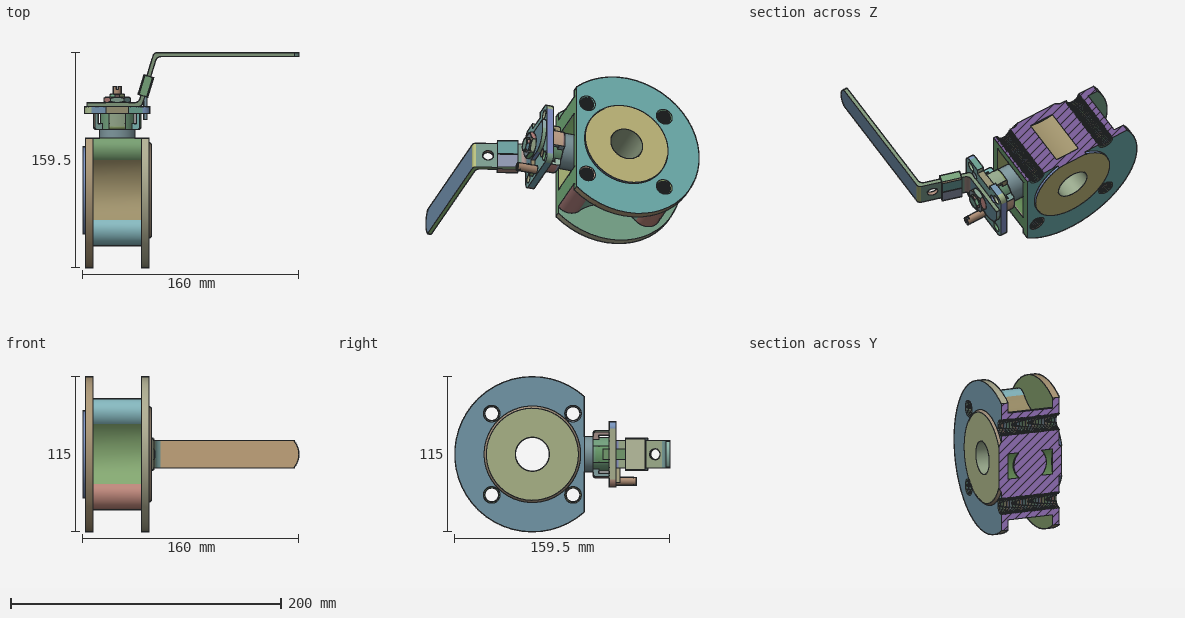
import cadquery as cq
import math


flange_dia = 115.0
flange_outer_x = 23.5
flange_inner_x = 18.0
flat_y = 38.5
bore_dia = 25.0
raised_face_dia = 64.8
raised_face_x = -25.5
cap_base_dia = 71.5
cap_face_dia = 68.2
cap_face_x = 25.5

bolt_offset = 30.0
lobe_radius = 11.0
thread_major_dia = 12.3
thread_minor_dia = 10.0
thread_turns = 40

collar_dia = 26.5
collar_top_y = 45.0
neck_dia = 25.1
pad_bottom_y = 56.8
pad_top_y = 62.0
pad_size = 48.5
pad_corner_radius = 5.3
pad_notch_width = 17.0
pad_notch_depth = 4.3
outer_pad_hole_dia = 7.0
outer_pad_circle_radius = 25.0
inner_pad_hole_dia = 6.0
inner_pad_circle_radius = 18.0
lug_outer_radius = 17.6
lug_inner_radius = 15.2
lug_width = 12.0
lug_foot_height = 4.3
lug_edge_radius = 2.0

stem_dia = 11.0
stem_square = 9.8
stem_top_y = 71.4
stem_edge_chamfer = 0.6
nut_across_flats = 17.3
nut_height = 4.0
nut_chamfer_radial = 1.5
nut_chamfer_height = 1.0

pin_dia = 6.0
pin_z = -20.0
pin_top_y = 77.0
pin_slot_width = 1.5
pin_slot_depth = 2.2

lever_thickness = 3.0
lever_width = 20.5
lever_base_end_x = -22.5
lever_base_round = 13.3
lever_bend_x = 15.8
lever_top_y = 102.0
lever_tip_x = 134.5
lever_tip_radius = 15.0
lever_tip_half_chord = 9.6
lever_lean = 17.0
bend_inside_radius = 4.0
bend_outside_radius = 3.0
lever_hole_dia = 8.0
lever_hole_y = 91.0
stop_ear_width = 5.8
stop_ear_end_z = -20.8

sleeve_length = 15.2
sleeve_bottom_y = 70.0
sleeve_thickness = 7.7
sleeve_width = 24.3
sleeve_edge_chamfer = 1.0
sleeve_split = 0.6
tongue_left_x = 19.5
tongue_right_x = 22.0
tongue_width = 8.0
tongue_bottom_y = 52.3

lever_bottom_y = pad_top_y
lever_base_top_y = lever_bottom_y + lever_thickness
lean_sin = math.sin(math.radians(lever_lean))
lean_cos = math.cos(math.radians(lever_lean))
lean_tan = lean_sin / lean_cos

def x_plane(x):
    """Plane across the bore: its x runs along Y and its y along Z."""
    return cq.Workplane("YZ", origin=(x, 0, 0))

def y_plane(y):
    """Plane across the stem: its x runs along X and its y along -Z; extrusion goes up Y."""
    return cq.Workplane("XZ", origin=(0, y, 0)).transformed(rotate=(180, 0, 0))

def y_cylinder(dia, bottom_y, top_y):
    return y_plane(bottom_y).circle(dia / 2).extrude(top_y - bottom_y)

def flange(start_x):
    return x_plane(start_x).circle(flange_dia / 2).extrude(flange_outer_x - flange_inner_x)

def waist():
    """Block between the flanges: four round lobes joined by concave arcs."""
    diagonal = lobe_radius / math.sqrt(2)
    far = bolt_offset + diagonal
    near = bolt_offset - diagonal
    arc_radius = bolt_offset * math.sqrt(2) - lobe_radius
    hollow = 2 * bolt_offset - arc_radius
    outline = x_plane(-flange_inner_x).moveTo(far, -near)
    for turn in range(4):
        angle = math.radians(90 * turn)

        def turned(y, z, cos=math.cos(angle), sin=math.sin(angle)):
            return (y * cos - z * sin, y * sin + z * cos)

        outline = outline.threePointArc(turned(hollow, 0), turned(far, near))
        outline = outline.threePointArc(turned(far, far), turned(near, far))
    return outline.close().extrude(2 * flange_inner_x)

def threaded_hole():
    """Cutter for one bolt hole: a round hole with V grooves, along X."""
    pitch = 2 * flange_outer_x / thread_turns
    points = [(-flange_outer_x, 0), (-flange_outer_x, thread_major_dia / 2)]
    for turn in range(thread_turns):
        groove_x = -flange_outer_x + turn * pitch
        points.append((groove_x + pitch / 2, thread_minor_dia / 2))
        points.append((groove_x + pitch, thread_major_dia / 2))
    points.append((flange_outer_x, 0))
    return cq.Workplane("XY").polyline(points).close().revolve(360, (0, 0, 0), (1, 0, 0))

def pad():
    """Square actuator pad with rounded corners, a notch and two rings of holes."""
    height = pad_top_y - pad_bottom_y
    plate = y_plane(pad_bottom_y).rect(pad_size, pad_size).extrude(height)
    plate = plate.edges("|Y").fillet(pad_corner_radius)
    notch = cq.Workplane("XY").box(pad_notch_width, 2 * pad_top_y, 2 * pad_notch_depth)
    plate = plate.cut(notch.translate((0, 0, pad_size / 2)))
    for dia, radius in (
        (outer_pad_hole_dia, outer_pad_circle_radius),
        (inner_pad_hole_dia, inner_pad_circle_radius),
    ):
        holes = y_plane(pad_bottom_y).polarArray(radius, 45, 360, 4).circle(dia / 2).extrude(height)
        plate = plate.cut(holes)
    return plate

def lugs():
    """Four hooked lugs hanging from the pad, their feet running into the neck."""
    foot_top_y = collar_top_y + lug_foot_height
    profile = (
        cq.Workplane("XY")
        .moveTo(stem_dia / 2, collar_top_y)
        .lineTo(lug_outer_radius - lug_edge_radius, collar_top_y)
        .radiusArc((lug_outer_radius, collar_top_y + lug_edge_radius), -lug_edge_radius)
        .lineTo(lug_outer_radius, pad_bottom_y)
        .lineTo(lug_inner_radius, pad_bottom_y)
        .lineTo(lug_inner_radius, foot_top_y)
        .lineTo(stem_dia / 2, foot_top_y)
        .close()
    )
    ring = profile.revolve(360, (0, 0, 0), (0, 1, 0))
    bars = [
        y_plane(collar_top_y).rect(x_size, z_size).extrude(pad_bottom_y - collar_top_y)
        for x_size, z_size in ((pad_size, lug_width), (lug_width, pad_size))
    ]
    return ring.intersect(bars[0].union(bars[1]))

def make_housing():
    body = flange(-flange_outer_x).union(flange(flange_inner_x)).union(waist())
    above_flat = cq.Workplane("XY").box(flange_dia, flange_dia, flange_dia)
    body = body.cut(above_flat.translate((0, flat_y + flange_dia / 2, 0)))

    raised_face = x_plane(raised_face_x).circle(raised_face_dia / 2)
    body = body.union(raised_face.extrude(-flange_outer_x - raised_face_x))
    cap = x_plane(flange_outer_x).circle(cap_base_dia / 2)
    cap = cap.workplane(offset=cap_face_x - flange_outer_x).circle(cap_face_dia / 2).loft()
    body = body.union(cap)

    body = body.union(y_cylinder(collar_dia, 0, collar_top_y))
    body = body.union(y_cylinder(neck_dia, 0, pad_bottom_y))
    body = body.union(pad()).union(lugs())

    bore = x_plane(raised_face_x).circle(bore_dia / 2).extrude(cap_face_x - raised_face_x)
    body = body.cut(bore)
    bolt_hole = threaded_hole()
    for y_side in (-1, 1):
        for z_side in (-1, 1):
            body = body.cut(bolt_hole.translate((0, y_side * bolt_offset, z_side * bolt_offset)))

    body = body.cut(y_cylinder(stem_dia, flat_y, pad_top_y))
    pin_hole = y_cylinder(pin_dia, pad_bottom_y, pad_top_y).translate((0, 0, pin_z))
    return body.cut(pin_hole).cut(tongue())

def make_stem():
    """Round shaft whose upper end is cut to a square with rounded corners."""
    stem = y_cylinder(stem_dia, flat_y, stem_top_y).faces(">Y").chamfer(stem_edge_chamfer)
    square = y_plane(lever_bottom_y).rect(stem_square, stem_square).extrude(stem_top_y - lever_bottom_y)
    square = square.rotate((0, 0, 0), (0, 1, 0), 45)
    return stem.intersect(square.union(y_cylinder(stem_dia, flat_y, lever_bottom_y)))

def make_nut():
    """Hex nut on top of the lever, chamfered at both ends."""
    corner_radius = nut_across_flats / math.sqrt(3)
    face_radius = corner_radius - nut_chamfer_radial
    hexagon = y_plane(lever_base_top_y).polygon(6, 2 * corner_radius).extrude(nut_height)
    top_y = lever_base_top_y + nut_height
    envelope = (
        cq.Workplane("XY")
        .polyline([
            (0, lever_base_top_y),
            (face_radius, lever_base_top_y),
            (corner_radius, lever_base_top_y + nut_chamfer_height),
            (corner_radius, top_y - nut_chamfer_height),
            (face_radius, top_y),
            (0, top_y),
        ])
        .close()
        .revolve(360, (0, 0, 0), (0, 1, 0))
    )
    return hexagon.intersect(envelope).cut(y_cylinder(stem_dia, lever_base_top_y, top_y))

def make_pin():
    """Stop pin standing in the pad, with a screwdriver slot along Z."""
    pin = y_cylinder(pin_dia, pad_bottom_y, pin_top_y)
    slot = cq.Workplane("XY").box(pin_slot_width, 2 * pin_slot_depth, 2 * pin_dia)
    return pin.cut(slot.translate((0, pin_top_y, 0))).translate((0, 0, pin_z))

def make_lever():
    """Bent flat bar: base on the pad, leaning riser, long handle with a rounded tip."""
    handle_bottom_y = lever_top_y - lever_thickness
    across = lever_thickness / lean_cos

    def riser_left(y):
        return lever_bend_x + (y - lever_base_top_y) * lean_tan

    inner_low = (riser_left(lever_base_top_y), lever_base_top_y)
    outer_low = (riser_left(lever_bottom_y) + across, lever_bottom_y)
    inner_high = (riser_left(handle_bottom_y) + across, handle_bottom_y)
    outer_high = (riser_left(lever_top_y), lever_top_y)
    bar = (
        cq.Workplane("XY", origin=(0, 0, -lever_width / 2))
        .polyline([
            (lever_base_end_x, lever_bottom_y),
            outer_low,
            inner_high,
            (lever_tip_x, handle_bottom_y),
            (lever_tip_x, lever_top_y),
            outer_high,
            inner_low,
            (lever_base_end_x, lever_base_top_y),
        ])
        .close()
        .extrude(lever_width)
    )
    for corners, radius in (
        ((inner_low, inner_high), bend_inside_radius),
        ((outer_low, outer_high), bend_outside_radius),
    ):
        for corner in corners:
            nearest = cq.selectors.NearestToPointSelector((corner[0], corner[1], 0))
            bar = bar.edges("|Z").edges(nearest).fillet(radius)
    bar = bar.edges("|Y and <X and <Z").fillet(lever_base_round)

    tip_sagitta = lever_tip_radius - math.sqrt(lever_tip_radius**2 - lever_tip_half_chord**2)
    step_x = lever_tip_x - tip_sagitta
    tip_blank = y_plane(handle_bottom_y).center((step_x + lever_tip_x) / 2, 0)
    tip_blank = tip_blank.rect(tip_sagitta, lever_width).extrude(lever_thickness)
    tip = (
        y_plane(handle_bottom_y)
        .moveTo(step_x, -lever_tip_half_chord)
        .threePointArc((lever_tip_x, 0), (step_x, lever_tip_half_chord))
        .close()
        .extrude(lever_thickness)
    )
    bar = bar.cut(tip_blank).union(tip)

    ear_length = -stop_ear_end_z
    ear = cq.Workplane("XY").box(stop_ear_width, lever_thickness, ear_length, centered=False)
    bar = bar.union(ear.translate((pin_dia / 2, lever_bottom_y, stop_ear_end_z)))

    hole = cq.Workplane("YZ").circle(lever_hole_dia / 2).extrude(2 * lever_thickness, both=True)
    hole = hole.rotate((0, 0, 0), (0, 0, 1), -lever_lean)
    hole_x = riser_left(lever_hole_y) + across / 2
    return bar.cut(hole.translate((hole_x, lever_hole_y, 0)))

def tongue():
    """Straight tongue under the sleeve, reaching down through the pad."""
    size_x = tongue_right_x - tongue_left_x
    bar = cq.Workplane("XY").box(size_x, sleeve_bottom_y - tongue_bottom_y, tongue_width, centered=False)
    return bar.translate((tongue_left_x, tongue_bottom_y, -tongue_width / 2))

def make_sleeve(lever):
    """Folded sleeve around the riser, split down its left side."""
    tube = cq.Workplane("XY").box(sleeve_thickness, sleeve_length, sleeve_width)
    tube = tube.edges("|Y").chamfer(sleeve_edge_chamfer)
    split = cq.Workplane("XY").box(sleeve_thickness, sleeve_length, sleeve_split)
    tube = tube.cut(split.translate((-sleeve_thickness / 2, 0, 0)))
    tube = tube.translate((0, sleeve_length / 2, 0)).rotate((0, 0, 0), (0, 0, 1), -lever_lean)
    riser_middle_x = (
        lever_bend_x
        + (sleeve_bottom_y - lever_base_top_y) * lean_tan
        + lever_thickness / lean_cos / 2
    )
    tube = tube.translate((riser_middle_x, sleeve_bottom_y, 0))
    return tube.union(tongue()).cut(lever)

housing = make_housing()
stem = make_stem()
nut = make_nut()
pin = make_pin()
lever = make_lever().cut(stem).cut(pin)
sleeve = make_sleeve(lever)

result = cq.Compound.makeCompound([
    housing.val(),
    stem.val(),
    nut.val(),
    pin.val(),
    lever.val(),
    sleeve.val(),
])